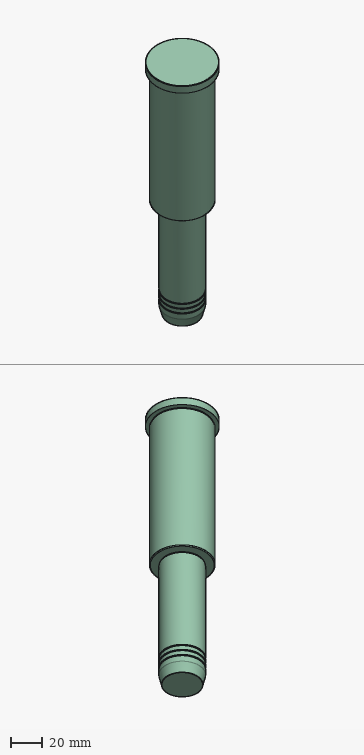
import cadquery as cq

total_length = 211.0
head_thickness = 6.0
neck_height = 0.6
shank_length = 95.0
nose_length = 7.5

head_diameter = 47.0
body_diameter = 42.0
shank_diameter = 30.0
nose_tip_diameter = 26.4

head_chamfer = 0.5
body_chamfer = 0.6
shank_top_chamfer_height = 1.0
shank_top_chamfer_inset = 0.5
tip_chamfer = 0.2

groove_count = 3
groove_width = 1.0
groove_depth = 0.32
lowest_groove_height = 12.5
groove_pitch = 4.0


def revolve_about_z(section):
    """Solid of revolution from (radius, height) points."""
    return cq.Workplane("XZ").polyline(section).close().revolve(360, (0, 0, 0), (0, 1, 0))


def head():
    """Flat disc with a broken top edge."""
    underside = total_length - head_thickness
    disc = cq.Workplane("XY").workplane(offset=underside).circle(head_diameter / 2).extrude(head_thickness)
    return disc.faces(">Z").chamfer(head_chamfer)


def body():
    """Thick cylinder chamfered at both ends, with a short neck that joins it to the head."""
    radius = body_diameter / 2
    neck_radius = radius - body_chamfer
    bottom = shank_length
    head_underside = total_length - head_thickness
    top = head_underside - neck_height
    return revolve_about_z([
        (0, bottom),
        (radius - body_chamfer, bottom),
        (radius, bottom + body_chamfer),
        (radius, top - body_chamfer),
        (neck_radius, top),
        (neck_radius, head_underside),
        (0, head_underside),
    ])


def shank():
    """Thin cylinder with a tapered nose and a slightly relieved upper end."""
    radius = shank_diameter / 2
    plain_shank = revolve_about_z([
        (0, 0),
        (nose_tip_diameter / 2, 0),
        (radius, nose_length),
        (radius, shank_length - shank_top_chamfer_height),
        (radius - shank_top_chamfer_inset, shank_length),
        (0, shank_length),
    ])
    return plain_shank.faces("<Z").chamfer(tip_chamfer)


def groove_cutter(height):
    """Ring with a triangular section that cuts one V-groove into the shank."""
    radius = shank_diameter / 2
    return revolve_about_z([
        (radius - groove_depth, height),
        (radius + groove_depth, height - groove_width),
        (radius + groove_depth, height + groove_width),
    ])


result = shank().union(body()).union(head())
for index in range(groove_count):
    result = result.cut(groove_cutter(lowest_groove_height + index * groove_pitch))